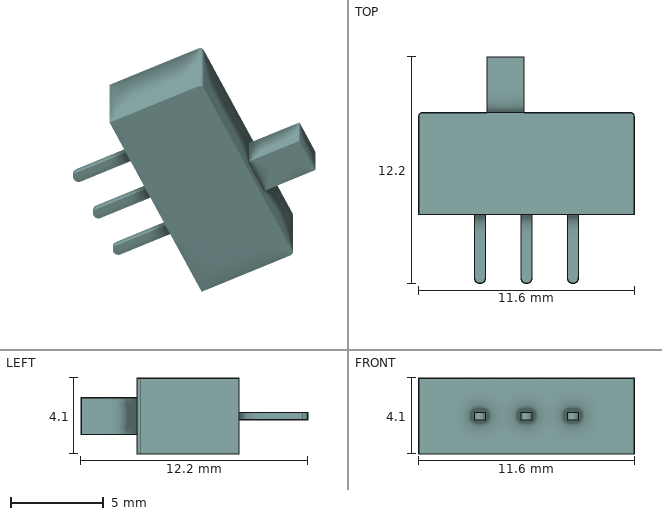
import cadquery as cq

body_width = 11.6
body_depth = 5.5
body_height = 4.1
corner_radius = 0.2

knob_size = 2.0
knob_length = 3.0
knob_offset = -1.125

pin_count = 3
pin_pitch = 2.5
pin_width = 0.6
pin_thickness = 0.4
pin_length = 3.7

back_y = body_depth / 2
front_y = -body_depth / 2


def make_body():
    """Rectangular housing with its two upright +Y corners rounded."""
    body = cq.Workplane("XY").box(body_width, body_depth, body_height)
    return body.edges("|Z and >Y").fillet(corner_radius)


def make_knob():
    """Square slider bar standing out of the +Y face."""
    knob = cq.Workplane("XY").box(knob_size, knob_length, knob_size)
    return knob.translate((knob_offset, back_y + knob_length / 2, 0))


def make_pin(center_x):
    """Flat pin running out of the -Y face to a fully rounded tip."""
    tip_radius = pin_width / 2
    tip_y = front_y - pin_length
    shoulder_y = tip_y + tip_radius
    return (
        cq.Workplane("XY")
        .moveTo(center_x - tip_radius, front_y)
        .lineTo(center_x - tip_radius, shoulder_y)
        .threePointArc((center_x, tip_y), (center_x + tip_radius, shoulder_y))
        .lineTo(center_x + tip_radius, front_y)
        .close()
        .extrude(pin_thickness / 2, both=True)
    )


result = make_body().union(make_knob())
for index in range(pin_count):
    pin_x = (index - (pin_count - 1) / 2) * pin_pitch
    result = result.union(make_pin(pin_x))